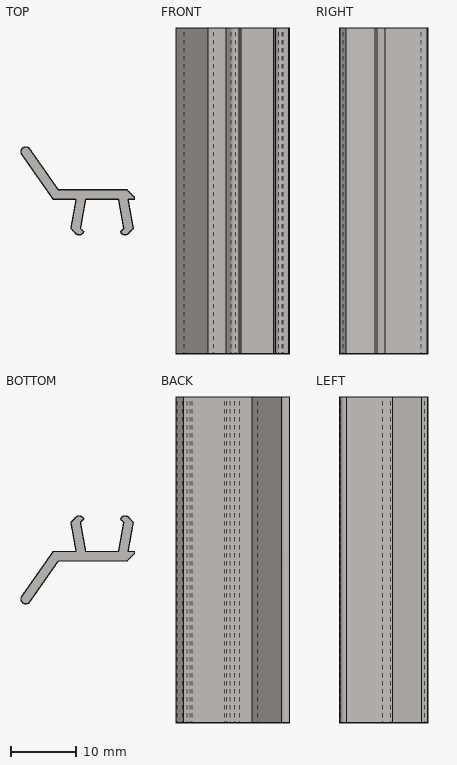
import cadquery as cq
import math

length = 50.0
wall = 1.5

plate_width = 12.5
plate_chamfer = 1.2

arm_angle = math.radians(55)
arm_length = 8.2
tip_bulge = 0.55

clip_center = 7.5
leg_root_x = 3.5
leg_width = 1.5
leg_height = 4.45
leg_lean = 0.8
hook_outer_run = 0.6
hook_inner_run = 0.5
hook_depth = 5.45
root_overlap = wall / 2


def extrude_outline(outline):
    return outline.close().extrude(length)


def make_plate():
    outline = (
        cq.Workplane("XY")
        .lineTo(plate_width, 0)
        .lineTo(plate_width, wall - plate_chamfer)
        .lineTo(plate_width - plate_chamfer, wall)
        .lineTo(wall * math.tan(arm_angle / 2), wall)
    )
    return extrude_outline(outline)


def make_arm():
    along_x, along_y = -math.cos(arm_angle), math.sin(arm_angle)
    bend_x = wall * math.tan(arm_angle / 2)
    tip_x = bend_x / 2 + arm_length * along_x
    tip_y = wall / 2 + arm_length * along_y
    half_wall = wall / 2
    outline = (
        cq.Workplane("XY")
        .lineTo(bend_x, wall)
        .lineTo(tip_x + half_wall * along_y, tip_y - half_wall * along_x)
        .threePointArc(
            (tip_x + tip_bulge * along_x, tip_y + tip_bulge * along_y),
            (tip_x - half_wall * along_y, tip_y + half_wall * along_x),
        )
    )
    return extrude_outline(outline)


def make_leg():
    outer_x = leg_root_x - leg_lean
    inner_x = outer_x + leg_width
    hook_start_x = outer_x + hook_outer_run
    hook_end_x = inner_x + hook_inner_run
    hook_start_y = -leg_height - hook_outer_run
    hook_end_y = -leg_height - hook_inner_run
    outline = (
        cq.Workplane("XY")
        .moveTo(leg_root_x, root_overlap)
        .lineTo(leg_root_x, 0)
        .lineTo(outer_x, -leg_height)
        .lineTo(hook_start_x, hook_start_y)
        .threePointArc(((hook_start_x + hook_end_x) / 2, -hook_depth), (hook_end_x, hook_end_y))
        .lineTo(inner_x, -leg_height)
        .lineTo(leg_root_x + leg_width, 0)
        .lineTo(leg_root_x + leg_width, root_overlap)
    )
    return extrude_outline(outline)


leg = make_leg()
mirrored_leg = leg.mirror("YZ", (clip_center, 0, 0))
result = make_plate().union(make_arm()).union(leg).union(mirrored_leg)